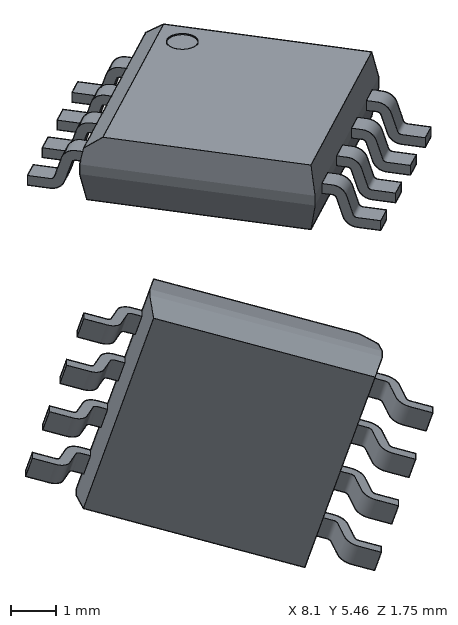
import cadquery as cq
import math

OVERALL_LENGTH = 8.1
BODY_LENGTH = 5.4
BODY_WIDTH = 5.46
BODY_HEIGHT = 1.65
STANDOFF = 0.1

DRAFT_INSET = 0.13
BEVEL_RUN = 0.5
BEVEL_DROP = 0.31
MARK_RADIUS = 0.35
MARK_X = -1.6
MARK_Y = 1.96
MARK_DEPTH = 0.03

LEADS_PER_SIDE = 4
LEAD_PITCH = 1.27
LEAD_WIDTH = 0.5
LEAD_THICKNESS = 0.25
LEAD_SLOPE = math.radians(72)
INNER_RADIUS = 0.1
OUTER_RADIUS = INNER_RADIUS + LEAD_THICKNESS
SHOULDER_LENGTH = 0.24
LEAD_EMBED = 0.3
LEFT_FOOT_LIFT = 0.0
RIGHT_FOOT_LIFT = 0.05

BODY_TOP = STANDOFF + BODY_HEIGHT
BAND_BOTTOM = STANDOFF + (BODY_HEIGHT - LEAD_THICKNESS) / 2
BAND_TOP = BAND_BOTTOM + LEAD_THICKNESS


def tapered_half(band_z, end_z):
    """Drafted block between the band outline and the smaller end face."""
    return (
        cq.Workplane("XY", origin=(0, 0, band_z))
        .rect(BODY_LENGTH, BODY_WIDTH)
        .workplane(offset=end_z - band_z)
        .rect(BODY_LENGTH - 2 * DRAFT_INSET, BODY_WIDTH - 2 * DRAFT_INSET)
        .loft(ruled=True)
    )


def pin_one_bevel():
    """Wedge that cuts the top edge on the -X side."""
    low_inset = DRAFT_INSET * (1 - BEVEL_DROP / (BODY_TOP - BAND_TOP))
    slope = BEVEL_DROP / (BEVEL_RUN - low_inset)
    edge_x = -BODY_LENGTH / 2
    inner_x = edge_x + BEVEL_RUN
    return (
        cq.Workplane("XZ")
        .polyline([
            (inner_x, BODY_TOP),
            (edge_x, BODY_TOP - BEVEL_RUN * slope),
            (edge_x, BODY_TOP),
        ])
        .close()
        .extrude(BODY_WIDTH / 2, both=True)
    )


def make_body():
    band = (
        cq.Workplane("XY", origin=(0, 0, BAND_BOTTOM))
        .rect(BODY_LENGTH, BODY_WIDTH)
        .extrude(LEAD_THICKNESS)
    )
    body = band.union(tapered_half(BAND_TOP, BODY_TOP))
    body = body.union(tapered_half(BAND_BOTTOM, STANDOFF))
    mark = (
        cq.Workplane("XY", origin=(MARK_X, MARK_Y, BODY_TOP - MARK_DEPTH))
        .circle(MARK_RADIUS)
        .extrude(MARK_DEPTH)
    )
    return body.cut(pin_one_bevel()).cut(mark)


def arc_point(center, radius, angle):
    """Point on a circle, with the angle measured from straight up toward +X."""
    return (center[0] + radius * math.sin(angle), center[1] + radius * math.cos(angle))


def make_lead(foot_lift):
    """Gull-wing lead reaching toward +X, centred on Y = 0."""
    root_x = BODY_LENGTH / 2 - LEAD_EMBED
    tip_x = OVERALL_LENGTH / 2
    foot_bottom = foot_lift
    foot_top = foot_lift + LEAD_THICKNESS
    half_slope = LEAD_SLOPE / 2

    bend_drop = (INNER_RADIUS + OUTER_RADIUS) * (1 - math.cos(LEAD_SLOPE))
    straight = (BAND_TOP - foot_top - bend_drop) / math.sin(LEAD_SLOPE)

    upper = (BODY_LENGTH / 2 + SHOULDER_LENGTH, BAND_TOP - OUTER_RADIUS)
    bend_run = (INNER_RADIUS + OUTER_RADIUS) * math.sin(LEAD_SLOPE)
    lower = (
        upper[0] + bend_run + straight * math.cos(LEAD_SLOPE),
        foot_bottom + OUTER_RADIUS,
    )
    below = math.pi

    return (
        cq.Workplane("XZ")
        .moveTo(root_x, BAND_TOP)
        .lineTo(upper[0], BAND_TOP)
        .threePointArc(
            arc_point(upper, OUTER_RADIUS, half_slope),
            arc_point(upper, OUTER_RADIUS, LEAD_SLOPE),
        )
        .lineTo(*arc_point(lower, INNER_RADIUS, below + LEAD_SLOPE))
        .threePointArc(arc_point(lower, INNER_RADIUS, below + half_slope), (lower[0], foot_top))
        .lineTo(tip_x, foot_top)
        .lineTo(tip_x, foot_bottom)
        .lineTo(lower[0], foot_bottom)
        .threePointArc(
            arc_point(lower, OUTER_RADIUS, below + half_slope),
            arc_point(lower, OUTER_RADIUS, below + LEAD_SLOPE),
        )
        .lineTo(*arc_point(upper, INNER_RADIUS, LEAD_SLOPE))
        .threePointArc(arc_point(upper, INNER_RADIUS, half_slope), (upper[0], BAND_BOTTOM))
        .lineTo(root_x, BAND_BOTTOM)
        .close()
        .extrude(LEAD_WIDTH / 2, both=True)
    )


result = make_body()
right_lead = make_lead(RIGHT_FOOT_LIFT)
left_lead = make_lead(LEFT_FOOT_LIFT).mirror("YZ")
for index in range(LEADS_PER_SIDE):
    lead_y = (index - (LEADS_PER_SIDE - 1) / 2) * LEAD_PITCH
    result = result.union(right_lead.translate((0, lead_y, 0)))
    result = result.union(left_lead.translate((0, lead_y, 0)))